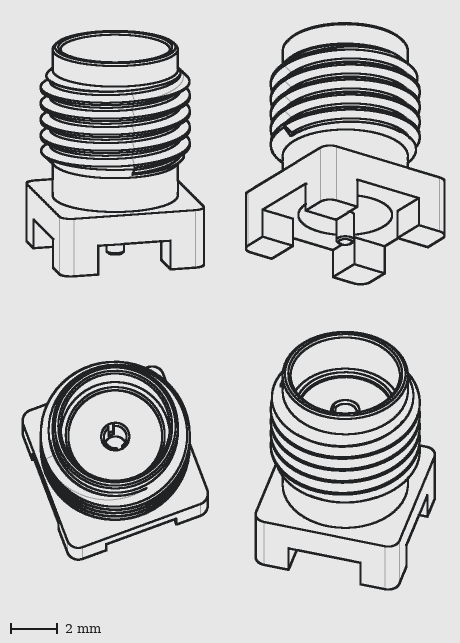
import cadquery as cq
import math

total_height = 9.09
base_width = 6.35
base_top = 2.545
base_corner_radius = 0.5
leg_height = 1.27
leg_gap = 3.18

barrel_diameter = 5.34
barrel_rim_chamfer = 0.1
thread_diameter = base_width
thread_bottom = 4.04
thread_top = 8.08
threads_per_diameter = 9
thread_pitch = thread_diameter / threads_per_diameter
thread_turns = 6
thread_root_diameter = 5.56
thread_root_flat = 0.145
thread_flank_angle = 30.0
groove_start_height = 4.32
groove_overshoot = 0.04

socket_diameter = 4.65
socket_mouth_chamfer = 0.1
socket_floor = 7.145

insulator_diameter = 4.0
insulator_lead_in_chamfer = 0.11
insulator_top = 6.95

contact_diameter = 1.2
contact_bore_diameter = 0.97
contact_bore_depth = 2.36
drill_point_angle = 118.0
contact_slot_width = 0.245
contact_slot_depth = 1.82
contact_shoulder = base_top
tail_diameter = 0.76
tail_chamfer = 0.09


def cylinder(diameter, bottom, top):
    return cq.Workplane("XY").workplane(offset=bottom).circle(diameter / 2).extrude(top - bottom)


def cone(bottom_diameter, top_diameter, bottom, top):
    return (
        cq.Workplane("XY")
        .workplane(offset=bottom)
        .circle(bottom_diameter / 2)
        .workplane(offset=top - bottom)
        .circle(top_diameter / 2)
        .loft(ruled=True)
    )


def make_base():
    """Square base with rounded corners, standing on four corner legs."""
    base = (
        cq.Workplane("XY")
        .rect(base_width, base_width)
        .extrude(base_top)
        .edges("|Z")
        .fillet(base_corner_radius)
    )
    for length, width in ((base_width, leg_gap), (leg_gap, base_width)):
        channel = cq.Workplane("XY").rect(length, width).extrude(leg_height)
        base = base.cut(channel)
    return base


def make_groove_turn():
    """One turn of the trapezoidal thread groove, open past the crests and starting at +X."""
    root_radius = thread_root_diameter / 2
    outer_radius = thread_diameter / 2 + groove_overshoot
    root_half = thread_root_flat / 2
    outer_half = root_half + (outer_radius - root_radius) * math.tan(math.radians(thread_flank_angle))
    helix = cq.Wire.makeHelix(thread_pitch, thread_pitch, root_radius)
    groove = (
        cq.Workplane("XZ")
        .polyline(
            [
                (root_radius, -root_half),
                (outer_radius, -outer_half),
                (outer_radius, outer_half),
                (root_radius, root_half),
            ]
        )
        .close()
        .sweep(cq.Workplane(obj=helix), isFrenet=True)
    )
    return groove.translate((0, 0, groove_start_height))


def make_threaded_collar():
    """Collar tapered to the barrel diameter at both ends, with the thread cut turn by turn."""
    taper = (thread_diameter - barrel_diameter) / 2
    lower_taper = cone(barrel_diameter, thread_diameter, thread_bottom, thread_bottom + taper)
    upper_taper = cone(thread_diameter, barrel_diameter, thread_top - taper, thread_top)
    collar = cylinder(thread_diameter, thread_bottom + taper, thread_top - taper)
    collar = collar.union(lower_taper).union(upper_taper)

    groove_turn = make_groove_turn()
    for turn in range(thread_turns):
        collar = collar.cut(groove_turn.translate((0, 0, turn * thread_pitch)))
    return collar


def make_housing():
    """Base, barrel and threaded collar as one body, bored from above for socket and insulator."""
    barrel = cylinder(barrel_diameter, base_top, total_height).faces(">Z").chamfer(barrel_rim_chamfer)
    housing = make_base().union(barrel).union(make_threaded_collar())

    socket = cylinder(socket_diameter, socket_floor, total_height)
    socket_mouth = cone(
        socket_diameter,
        socket_diameter + 2 * socket_mouth_chamfer,
        total_height - socket_mouth_chamfer,
        total_height,
    )
    insulator_bore = cylinder(insulator_diameter, leg_height, socket_floor)
    insulator_lead_in = cone(
        insulator_diameter,
        insulator_diameter + 2 * insulator_lead_in_chamfer,
        socket_floor - insulator_lead_in_chamfer,
        socket_floor,
    )
    return housing.cut(socket).cut(socket_mouth).cut(insulator_bore).cut(insulator_lead_in)


def make_insulator():
    """Disc filling the housing bore, with a stepped hole that fits the contact."""
    insulator = cylinder(insulator_diameter, leg_height, insulator_top)
    contact_hole = cylinder(contact_diameter, contact_shoulder, insulator_top)
    tail_hole = cylinder(tail_diameter, leg_height, contact_shoulder)
    return insulator.cut(contact_hole).cut(tail_hole)


def make_contact():
    """Centre contact flush with the insulator, drilled and slotted on top, with a tail below."""
    tail = cylinder(tail_diameter, 0, contact_shoulder).faces("<Z").chamfer(tail_chamfer)
    contact = cylinder(contact_diameter, contact_shoulder, insulator_top).union(tail)

    bore_floor = insulator_top - contact_bore_depth
    point_half_angle = math.radians(drill_point_angle / 2)
    point_depth = contact_bore_diameter / 2 / math.tan(point_half_angle)
    mouth_depth = (contact_diameter - contact_bore_diameter) / 2
    drilled_profile = (
        cq.Workplane("XZ")
        .polyline(
            [
                (0, bore_floor - point_depth),
                (contact_bore_diameter / 2, bore_floor),
                (contact_bore_diameter / 2, insulator_top - mouth_depth),
                (contact_diameter / 2, insulator_top),
                (0, insulator_top),
            ]
        )
        .close()
    )
    slot = (
        cq.Workplane("XY")
        .workplane(offset=insulator_top - contact_slot_depth)
        .rect(contact_slot_width, contact_diameter)
        .extrude(contact_slot_depth)
    )
    return contact.cut(drilled_profile.revolve()).cut(slot)


housing = make_housing()
insulator = make_insulator()
contact = make_contact()
result = cq.Compound.makeCompound(
    [housing.solids().val(), insulator.solids().val(), contact.solids().val()]
)